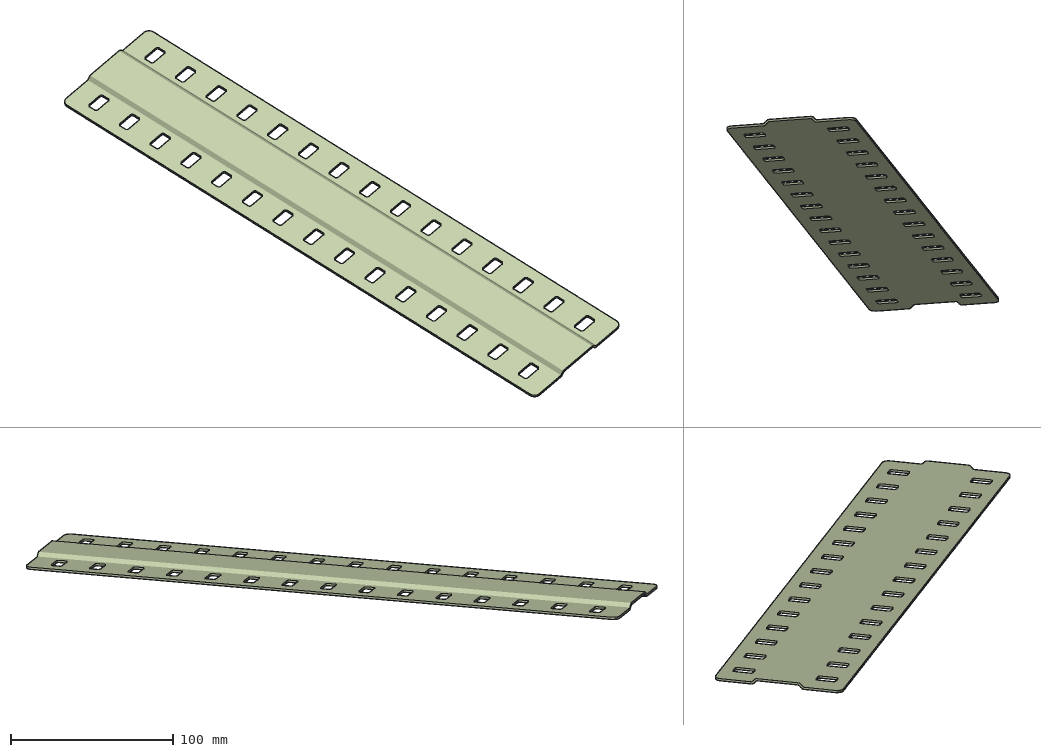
import cadquery as cq
import math

length = 385.0
width = 82.0
thickness = 1.5
rise = 2.5
height = rise + thickness
corner_radius = 4.2

band_half_width = 13.0
bend_angle = 45
bend_inner_radius = 1.0
bend_outer_radius = bend_inner_radius + thickness
bend_sin = math.sin(math.radians(bend_angle))
bend_cos = math.cos(math.radians(bend_angle))
bends_rise = (bend_inner_radius + bend_outer_radius) * (1 - bend_cos)
bends_run = (bend_inner_radius + bend_outer_radius) * bend_sin
flange_inner_y = band_half_width + bends_run + (rise - bends_rise) * bend_cos / bend_sin

slot_count = 15
end_slot_x = 174.8
slot_pitch = 2 * end_slot_x / (slot_count - 1)
slot_width = 7.0
slot_length = 12.7
slot_corner_radius = 1.35
slot_row_y = 26.5


def bend_arc(tangent_y, tangent_z, radius, direction):
    """Tangent, middle and wall points of a bend; direction is 1 at the band, -1 at the flange."""
    half_angle = math.radians(bend_angle / 2)
    return [
        (
            tangent_y + direction * radius * math.sin(a),
            tangent_z - direction * radius * (1 - math.cos(a)),
        )
        for a in (0, half_angle, 2 * half_angle)
    ]


def make_half_sheet():
    """The +Y half of the stepped profile, extruded along X."""
    edge_y = width / 2
    top_band = bend_arc(band_half_width, height, bend_outer_radius, 1)
    top_flange = bend_arc(flange_inner_y, thickness, bend_inner_radius, -1)
    under_band = bend_arc(band_half_width, rise, bend_inner_radius, 1)
    under_flange = bend_arc(flange_inner_y, 0, bend_outer_radius, -1)
    profile = (
        cq.Workplane("YZ")
        .moveTo(0, height)
        .lineTo(*top_band[0])
        .threePointArc(top_band[1], top_band[2])
        .lineTo(*top_flange[2])
        .threePointArc(top_flange[1], top_flange[0])
        .lineTo(edge_y, thickness)
        .lineTo(edge_y, 0)
        .lineTo(*under_flange[0])
        .threePointArc(under_flange[1], under_flange[2])
        .lineTo(*under_band[2])
        .threePointArc(under_band[1], under_band[0])
        .lineTo(0, rise)
        .close()
    )
    half = profile.extrude(length / 2, both=True)
    return half.faces(">Y").edges("|Z").fillet(corner_radius)


def make_slots():
    """Two rows of round-cornered slots through the flanges."""
    centres = [
        (i * slot_pitch - end_slot_x, side * slot_row_y)
        for i in range(slot_count)
        for side in (-1, 1)
    ]
    return (
        cq.Workplane("XY")
        .pushPoints(centres)
        .rect(slot_width, slot_length)
        .extrude(height)
        .edges("|Z")
        .fillet(slot_corner_radius)
    )


half_sheet = make_half_sheet()
sheet = half_sheet.union(half_sheet.mirror("XZ"))
result = sheet.cut(make_slots())